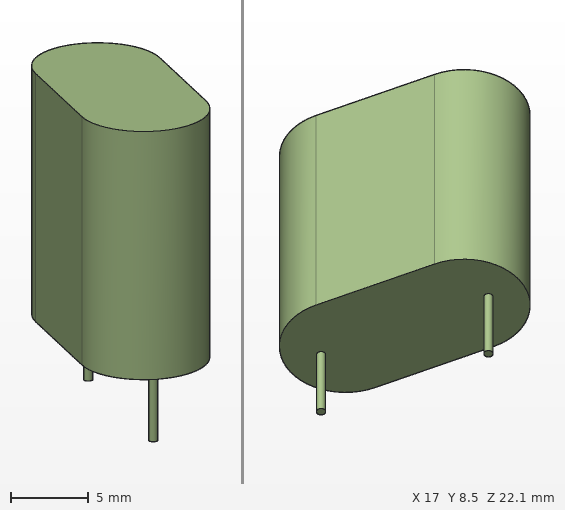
import cadquery as cq

housing_length = 17.0
housing_width = 8.5
housing_height = 17.0

lead_diameter = 0.6
lead_length = 5.1
lead_spacing = 12.0


def make_housing():
    """Obround block, long along X, with its underside on Z = 0."""
    return cq.Workplane("XY").slot2D(housing_length, housing_width).extrude(housing_height)


def make_lead(x):
    """Round wire that hangs down from the underside of the housing at the given X."""
    return cq.Workplane("XY").center(x, 0).circle(lead_diameter / 2).extrude(-lead_length)


housing = make_housing()
leads = [make_lead(side * lead_spacing / 2) for side in (-1, 1)]

result = cq.Compound.makeCompound([housing.val(), *[lead.val() for lead in leads]])